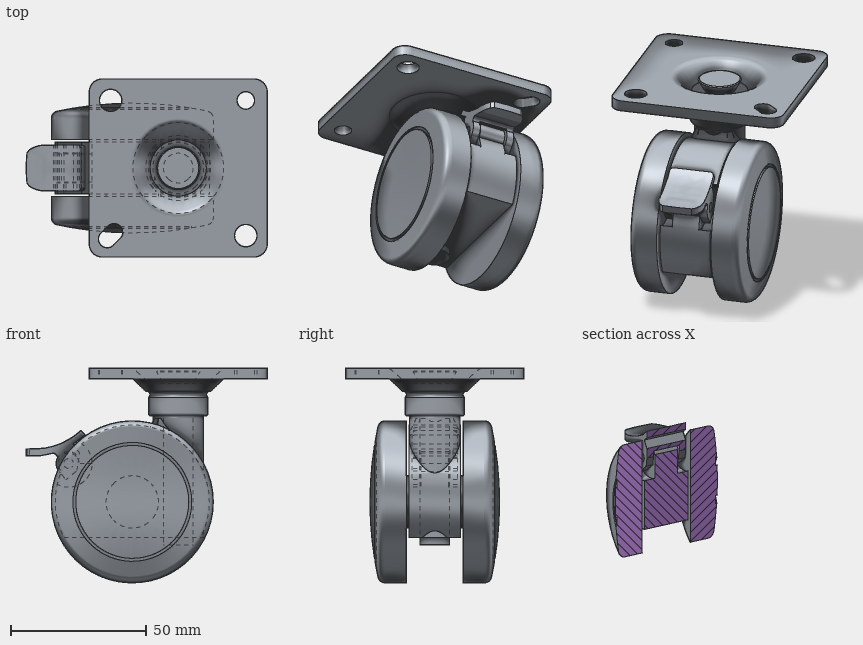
import cadquery as cq
import math


plate_size = 66.0
plate_thickness = 4.0
plate_corner_radius = 5.0
hole_pitch = 50.0
large_hole_diameter = 8.2
small_hole_diameter = 6.4
slot_length = 10.0
slot_angle = 45.0
dish_rim_radius = 18.2
dish_rim_depth = 1.0
dish_wall_top_radius = 15.7
dish_floor_radius = 10.4
dish_floor_depth = 5.7
dish_outer_radius = 16.8
dish_cone_end_radius = 12.0
dish_cone_end_depth = 8.6
neck_radius = 10.5
neck_depth = 9.6
collar_radius = 11.0
collar_top = 10.8
collar_bottom = 17.7
collar_fillet = 0.9
stem_radius = 5.5
stem_bottom = 65.4
stem_head_radius = 8.0
stem_head_rim = 0.4
stem_head_depth = 1.0

axle_x = -17.0
axle_z = -49.5
wheel_radius = 30.0
wheel_inner_y = 10.5
tread_end_y = 18.3
shoulder_radius = 27.5
shoulder_y = 21.1
wheel_outer_y = 24.0
groove_outer_radius = 22.0
groove_inner_radius = 20.9
groove_depth_y = 21.6

housing_half_width = 9.6
drum_radius = 28.5
housing_bottom = 62.7
tower_radius = 9.4
tower_top_fillet = 0.9
hub_radius = 9.7
flare_depth = 4.5
flare_draft = 25.0
flare_front = 8.8
flare_half_width = 6.9
flare_corner = 1.5

pivot_x = -40.6
pivot_z = -35.3
pivot_pin_radius = 1.8
knuckle_radius = 3.9
knuckle_half_width = 5.1
knuckle_clearance = 0.5
recess_radius = 8.75

lever_half_width = 8.5
lever_thickness = 2.6
lever_tip_x = -56.29
lever_tip_bow = 0.3
lever_tip_half_width = 5.6
lever_tip_corner = 0.9
lever_taper_end_y = 6.7
lever_taper_mid_x = -52.2
lever_taper_mid_y = 8.1
lever_taper_x = -49.4
lever_end_corner = 1.5
lever_top_z = -29.9
lever_flat_end_x = -51.2
lever_end_top = (-36.0, -23.1)
lever_top_curve = [(-42.5, -27.5), (-49.4, -29.6)]
lever_end_bottom = (-34.4, -24.7)
lever_underside = (-38.8, -28.05)
lever_throat = (-46.1, -31.5)
lever_throat_mid = (-45.1, -32.2)
lever_toe = (-41.5, -41.3)
lever_heel = (-37.5, -38.0)
lever_back = (-36.5, -31.5)
cheek_start_angle = 150.0
cheek_mid_angle = 185.0
cheek_end_angle = 231.0
cheek_radius = 4.6
notch_top_z = -32.5


def side_plane(half_width):
    """XZ plane at Y = half_width, so that extruding 2 * half_width is centred on Y = 0."""
    return cq.Workplane("XZ", origin=(0, half_width, 0))


def cheek_point(angle):
    """Point on the round of the lever cheek, angle in degrees from +X towards +Z."""
    turn = math.radians(angle)
    return (pivot_x + cheek_radius * math.cos(turn), pivot_z + cheek_radius * math.sin(turn))


def disc_y(x, z, radius, half_width):
    """Cylinder along Y, centred on Y = 0."""
    return side_plane(half_width).center(x, z).circle(radius).extrude(2 * half_width)


def recess_block(top_z, half_width):
    """Block spanning the recess below the height top_z, centred on Y = 0."""
    return (
        cq.Workplane("XY", origin=(pivot_x, 0, top_z))
        .rect(2 * recess_radius, 2 * half_width)
        .extrude(pivot_z - recess_radius - top_z)
    )


def make_plate():
    hole_offset = hole_pitch / 2
    plate = (
        cq.Workplane("XY")
        .rect(plate_size, plate_size)
        .extrude(-plate_thickness)
        .edges("|Z")
        .fillet(plate_corner_radius)
    )

    body = (
        cq.Workplane("XZ")
        .moveTo(0, -dish_floor_depth)
        .lineTo(dish_outer_radius, -dish_floor_depth / 2)
        .lineTo(dish_outer_radius, -plate_thickness)
        .lineTo(dish_cone_end_radius, -dish_cone_end_depth)
        .threePointArc((neck_radius, -neck_depth), (collar_radius, -collar_top))
        .lineTo(collar_radius, collar_fillet - collar_bottom)
        .radiusArc((collar_radius - collar_fillet, -collar_bottom), collar_fillet)
        .lineTo(stem_radius, -collar_bottom)
        .lineTo(stem_radius, -stem_bottom)
        .lineTo(0, -stem_bottom)
        .close()
        .revolve(360, (0, 0, 0), (0, 1, 0))
    )
    plate = plate.union(body)

    rim_run = dish_rim_radius - dish_wall_top_radius
    rim_round = (rim_run**2 + dish_rim_depth**2) / (2 * dish_rim_depth)
    dish = (
        cq.Workplane("XZ")
        .lineTo(dish_rim_radius, 0)
        .radiusArc((dish_wall_top_radius, -dish_rim_depth), -rim_round)
        .lineTo(dish_floor_radius, -dish_floor_depth)
        .lineTo(0, -dish_floor_depth)
        .close()
        .revolve(360, (0, 0, 0), (0, 1, 0))
    )
    plate = plate.cut(dish)

    head = (
        cq.Workplane("XZ")
        .moveTo(0, -dish_floor_depth)
        .lineTo(stem_radius, -dish_floor_depth)
        .lineTo(stem_head_radius, -stem_head_depth - stem_head_rim)
        .lineTo(stem_head_radius - stem_head_rim, -stem_head_depth)
        .lineTo(0, -stem_head_depth)
        .close()
        .revolve(360, (0, 0, 0), (0, 1, 0))
    )
    plate = plate.union(head)

    large_holes = (
        cq.Workplane("XY")
        .pushPoints([(-hole_offset, hole_offset), (hole_offset, -hole_offset)])
        .circle(large_hole_diameter / 2)
        .extrude(-plate_thickness)
    )
    small_hole = (
        cq.Workplane("XY")
        .center(hole_offset, hole_offset)
        .circle(small_hole_diameter / 2)
        .extrude(-plate_thickness)
    )
    slot = (
        cq.Workplane("XY")
        .center(-hole_offset, -hole_offset)
        .slot2D(slot_length, small_hole_diameter, slot_angle)
        .extrude(-plate_thickness)
    )
    return plate.cut(large_holes).cut(small_hole).cut(slot)


def make_wheel(side):
    """Wheel on the +Y side (side = 1) or the -Y side (side = -1)."""
    dome_rise = wheel_outer_y - shoulder_y
    dome_radius = (shoulder_radius**2 + dome_rise**2) / (2 * dome_rise)

    def dome_y(radius):
        return wheel_outer_y - dome_radius + math.sqrt(dome_radius**2 - radius**2)

    profile = (
        cq.Workplane("XY")
        .moveTo(0, wheel_inner_y)
        .lineTo(wheel_radius, wheel_inner_y)
        .lineTo(wheel_radius, tread_end_y)
        .tangentArcPoint((shoulder_radius, shoulder_y), relative=False)
        .radiusArc((groove_outer_radius, dome_y(groove_outer_radius)), -dome_radius)
        .lineTo(groove_outer_radius, groove_depth_y)
        .lineTo(groove_inner_radius, groove_depth_y)
        .lineTo(groove_inner_radius, dome_y(groove_inner_radius))
        .radiusArc((0, wheel_outer_y), -dome_radius)
        .close()
    )
    wheel = profile.revolve(360, (0, 0, 0), (0, 1, 0))
    if side < 0:
        wheel = wheel.mirror("XZ")
    return wheel.translate((axle_x, 0, axle_z))


def make_housing():
    drum = disc_y(axle_x, axle_z, drum_radius, housing_half_width)
    below = (
        cq.Workplane("XY", origin=(axle_x, 0, -housing_bottom))
        .rect(2 * drum_radius, 2 * housing_half_width)
        .extrude(-drum_radius)
    )
    drum = drum.cut(below)

    tongue = drum.intersect(recess_block(pivot_z, knuckle_half_width))
    recess = disc_y(pivot_x, pivot_z, recess_radius, housing_half_width)
    housing = drum.cut(recess).union(tongue)

    housing = housing.union(disc_y(pivot_x, pivot_z, knuckle_radius, knuckle_half_width))
    housing = housing.union(disc_y(pivot_x, pivot_z, pivot_pin_radius, lever_half_width))

    tower = (
        cq.Workplane("XY", origin=(0, 0, -collar_bottom))
        .circle(tower_radius)
        .extrude(collar_bottom - housing_bottom)
        .faces(">Z")
        .edges()
        .fillet(tower_top_fillet)
    )
    flare = (
        cq.Workplane("XY", origin=(0, 0, -collar_bottom - tower_top_fillet))
        .polyline([
            (-flare_front, flare_corner - flare_half_width),
            (-flare_front, flare_half_width - flare_corner),
            (flare_corner - flare_front, flare_half_width),
            (0, flare_half_width),
            (0, -flare_half_width),
            (flare_corner - flare_front, -flare_half_width),
        ])
        .close()
        .extrude(-flare_depth, taper=-flare_draft)
    )
    housing = housing.union(tower).union(flare)

    housing = housing.union(disc_y(axle_x, axle_z, hub_radius, wheel_inner_y))
    bore = cq.Workplane("XY").circle(stem_radius).extrude(-stem_bottom)
    return housing.cut(bore)


def make_lever():
    blank = (
        side_plane(lever_half_width)
        .moveTo(*lever_end_top)
        .spline([*lever_top_curve, (lever_tip_x, lever_top_z)], includeCurrent=True)
        .lineTo(lever_tip_x, lever_top_z - lever_thickness)
        .lineTo(lever_flat_end_x, lever_top_z - lever_thickness)
        .lineTo(*lever_throat)
        .threePointArc(lever_throat_mid, cheek_point(cheek_start_angle))
        .threePointArc(cheek_point(cheek_mid_angle), cheek_point(cheek_end_angle))
        .lineTo(*lever_toe)
        .lineTo(*lever_heel)
        .lineTo(*lever_back)
        .lineTo(*lever_underside)
        .lineTo(*lever_end_bottom)
        .close()
        .extrude(2 * lever_half_width)
    )

    tip_shoulder_x = lever_tip_x + lever_tip_bow
    plan = (
        cq.Workplane("XY")
        .moveTo(lever_taper_x, -lever_half_width)
        .threePointArc(
            (lever_taper_mid_x, -lever_taper_mid_y),
            (tip_shoulder_x + lever_tip_corner, -lever_taper_end_y),
        )
        .lineTo(tip_shoulder_x, -lever_tip_half_width)
        .threePointArc((lever_tip_x, 0), (tip_shoulder_x, lever_tip_half_width))
        .lineTo(tip_shoulder_x + lever_tip_corner, lever_taper_end_y)
        .threePointArc((lever_taper_mid_x, lever_taper_mid_y), (lever_taper_x, lever_half_width))
        .lineTo(lever_end_bottom[0], lever_half_width)
        .lineTo(lever_end_bottom[0], -lever_half_width)
        .close()
        .extrude(-housing_bottom)
    )
    lever = blank.intersect(plan)

    end_direction = cq.Vector(
        lever_end_bottom[0] - lever_end_top[0],
        0,
        lever_end_bottom[1] - lever_end_top[1],
    )
    lever = lever.edges(cq.selectors.ParallelDirSelector(end_direction)).fillet(lever_end_corner)

    notch_half_width = knuckle_half_width + knuckle_clearance
    notch = disc_y(pivot_x, pivot_z, knuckle_radius + knuckle_clearance, notch_half_width)
    pivot_hole = disc_y(pivot_x, pivot_z, pivot_pin_radius, lever_half_width)
    notch = notch.union(recess_block(notch_top_z, notch_half_width))
    return lever.cut(notch).cut(pivot_hole)


plate = make_plate()
housing = make_housing()
lever = make_lever()
wheels = [make_wheel(side) for side in (-1, 1)]

result = cq.Compound.makeCompound([
    plate.val(),
    housing.val(),
    lever.val(),
    *[wheel.val() for wheel in wheels],
])